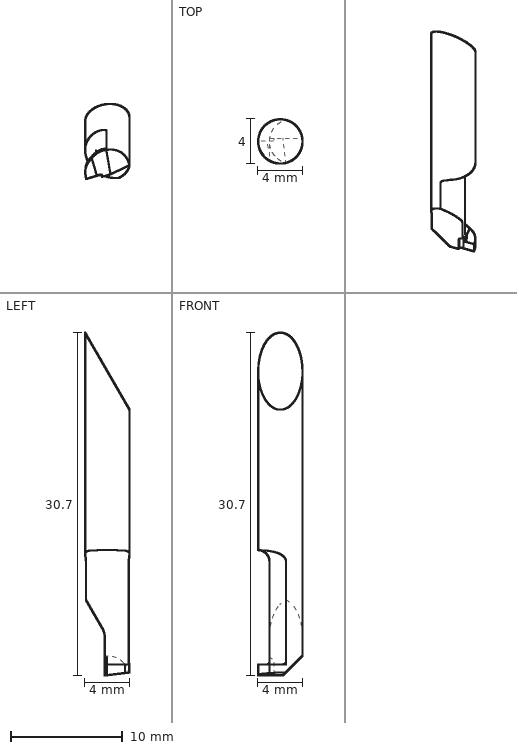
import cadquery as cq
import math

length = 30.7
radius = 2.0
diameter = 2 * radius
end_angle = math.radians(30)
bevel = 1.75

relief_axis_x = 1.0
neck_left_x = relief_axis_x - radius
neck_top_z = 10.2
runout_radius = radius + neck_left_x
hook_top_z = 0.98
root_radius = 0.18

flat_y = 0.25
flat_top_z = 3.85
ramp_blend = 1.55

tip_joint_x = neck_left_x
tip_joint_y = -1.6
land_end = (-1.97, -0.3)
hook_mid = (-0.18, -1.95)
rake_y = 0.03
bottom_clearance = math.radians(7)

groove_right_x = -0.58
groove_top_z = 1.6
groove_round = 0.45

margin = 1.55
reach = radius + margin


def side_cutter(profile):
    """Extrude a closed Y-Z outline across the whole bar."""
    return profile.close().extrude(reach, both=True)


def slanted_bar():
    bar = cq.Workplane("XY").circle(radius).extrude(length)
    drop = diameter / math.tan(end_angle)
    end_cut = side_cutter(
        cq.Workplane("YZ").moveTo(radius, length).lineTo(-radius, length - drop)
        .lineTo(-reach, length - drop).lineTo(-reach, length + margin).lineTo(radius, length + margin)
    )
    bevel_cut = (
        cq.Workplane("XZ").polyline([(radius - bevel, 0), (radius, bevel), (radius, 0)])
        .close().extrude(reach, both=True)
    )
    return bar.cut(end_cut).cut(bevel_cut)


def neck_relief():
    """Ring-shaped cut, rounded at both ends, outside the offset neck cylinder."""
    outer = radius + runout_radius
    diagonal = math.sqrt(0.5)
    runout_mid = (outer - runout_radius * diagonal, neck_top_z + runout_radius * diagonal)
    root_mid = (
        radius + root_radius * (1 - diagonal),
        hook_top_z + root_radius * (1 - diagonal),
    )
    return (
        cq.Workplane("XZ", origin=(relief_axis_x, 0, 0))
        .moveTo(radius + root_radius, hook_top_z)
        .threePointArc(root_mid, (radius, hook_top_z + root_radius))
        .lineTo(radius, neck_top_z)
        .threePointArc(runout_mid, (outer, neck_top_z + runout_radius))
        .lineTo(outer + margin, neck_top_z + runout_radius).lineTo(outer + margin, hook_top_z)
        .close().revolve(360, (0, 0, 0), (0, 1, 0))
    )


def back_flat():
    """Cut behind the flat, with a ramp blending up to the full neck."""
    ramp_rise = (reach - flat_y) / math.tan(end_angle)
    cutter = side_cutter(
        cq.Workplane("YZ").moveTo(flat_y, -margin).lineTo(flat_y, flat_top_z)
        .lineTo(reach, flat_top_z + ramp_rise).lineTo(reach, -margin)
    )
    corner = cq.selectors.NearestToPointSelector((0, flat_y, flat_top_z))
    return cutter.edges(corner).fillet(ramp_blend)


def hook_clearance():
    """Material outside the hook outline, up to the hook top."""
    bend_mid = (-1.65, -1.05)
    neck_edge_x = relief_axis_x / 2
    neck_edge_y = -math.sqrt(radius**2 - neck_edge_x**2)
    return (
        cq.Workplane("XY").moveTo(-radius, rake_y).lineTo(*land_end)
        .threePointArc(bend_mid, (tip_joint_x, tip_joint_y))
        .threePointArc(hook_mid, (neck_edge_x, neck_edge_y))
        .lineTo(neck_edge_x, -reach).lineTo(-reach, -reach).lineTo(-reach, rake_y)
        .close().extrude(hook_top_z)
    )


def bottom_relief():
    """Wedge that lifts the underside away from the cutting edge toward -Y."""
    run = reach + rake_y
    rise = run * math.tan(bottom_clearance)
    return side_cutter(
        cq.Workplane("YZ").moveTo(rake_y, 0).lineTo(-reach, rise).lineTo(-reach, -margin)
        .lineTo(rake_y, -margin)
    )


def chip_groove():
    width = reach + groove_right_x
    cutter = cq.Workplane("XY").box(
        width, reach, groove_top_z + margin, centered=False
    ).translate((-reach, rake_y, -margin))
    return cutter.edges("|Y and >X and >Z").fillet(groove_round)


def tip_region():
    """Space holding the tip: left of the joint plane and below the hook top."""
    return cq.Workplane("XY").box(
        reach + tip_joint_x, 2 * reach, hook_top_z, centered=False
    ).translate((-reach, -reach, 0))


blank = slanted_bar().cut(neck_relief()).cut(back_flat()).cut(hook_clearance())
blank = blank.cut(bottom_relief()).cut(chip_groove())

holder = blank.cut(tip_region())
cutting_tip = blank.intersect(tip_region())

result = cq.Compound.makeCompound([holder.val(), cutting_tip.val()])